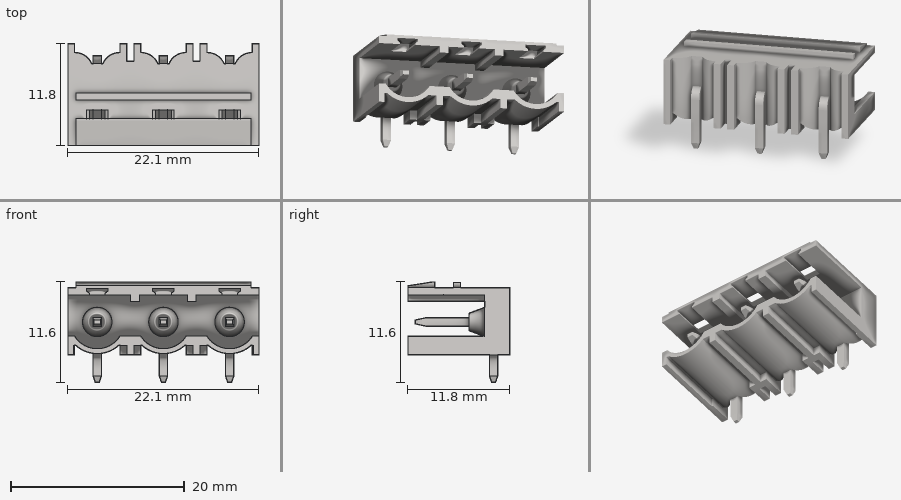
import cadquery as cq
import math


WIDTH = 22.05
DEPTH = 11.75
HEIGHT = 7.75
POLE_PITCH = 7.63
POLE_XS = [-POLE_PITCH, 0.0, POLE_PITCH]
POLE_GAP_XS = [-POLE_PITCH / 2, POLE_PITCH / 2]

CAVITY_DEPTH = 8.84
FLOOR_Z = 2.15
CEILING_Z = 6.9
KEY_WIDTH = 1.01
KEY_DROP = 0.73
KEY_X = 3.26

PIN_Z = 3.8
TROUGH_RADIUS = 3.09
TROUGH_OUTER_RADIUS = 3.65
UNDERSIDE_Z = 1.08

RIB_WIDTH = 0.8
END_RIB_WIDTH = 0.65

BAY_HALF_WIDTH = 2.6
SLOT_DEPTH = 2.03
BAY_DEPTH = 1.01
SCALLOP_RADIUS = 2.14
SCALLOP_DEPTH = 1.3
END_FOOT_WIDTH = WIDTH / 2 - POLE_PITCH - BAY_HALF_WIDTH
MIDDLE_FOOT_WIDTH = POLE_PITCH - 2 * BAY_HALF_WIDTH

TOP_BAR_LENGTH = 20.19
RAIL_FRONT_Y = 5.25
RAIL_DEPTH = 0.82
RAIL_HEIGHT = 0.6
LATCH_DEPTH = 3.1
LATCH_LAND = 0.22
LATCH_HEIGHT = 0.66
LATCH_FRONT_HEIGHT = 0.21

DOVETAIL_LENGTH = 4.1
DOVETAIL_TOP_HALF = 1.23
DOVETAIL_BOTTOM_HALF = 0.9
DOVETAIL_ROOF_Z = 7.63
DOVETAIL_SLOPE_TOP_Z = 7.36
DOVETAIL_SLOPE_BOTTOM_Z = 7.07

COLLAR_BASE_RADIUS = 1.7
COLLAR_TIP_RADIUS = 1.01
COLLAR_LENGTH = 1.8
COLLAR_ROUNDING = 0.22

PIN_SIZE = 1.0
PIN_BACK_Y = 10.35
PIN_FRONT_Y = 0.84
PIN_BOTTOM_Z = -3.17
BEND_OUTER_RADIUS = 1.5
TIP_TOP_TAPER = 1.21
TIP_SIDE_TAPER = 0.84
TIP_WIDTH = 0.7
TIP_HEIGHT = 0.46
LEG_TAPER = 0.75
LEG_TIP_SIZE = 0.46


def block(x_min, x_max, y_min, y_max, z_min, z_max):
    size = (x_max - x_min, y_max - y_min, z_max - z_min)
    return cq.Workplane("XY").box(*size, centered=False).translate((x_min, y_min, z_min))


def centred_block(x, width, y_min, y_max, z_min, z_max):
    return block(x - width / 2, x + width / 2, y_min, y_max, z_min, z_max)


def pole_cylinder(x, radius, length):
    """Cylinder along Y on the pin axis, starting at the mouth."""
    return cq.Workplane("XZ").center(x, PIN_Z).circle(radius).extrude(-length)


def make_shell():
    """Body block with one trough-shaped bulge per pole, hollowed by the cavity and the troughs."""
    shell = centred_block(0, WIDTH, 0, DEPTH, UNDERSIDE_Z, HEIGHT)
    for x in POLE_XS:
        lower_part = centred_block(x, 2 * TROUGH_OUTER_RADIUS, 0, DEPTH, 0, FLOOR_Z)
        shell = shell.union(pole_cylinder(x, TROUGH_OUTER_RADIUS, DEPTH).intersect(lower_part))
    shell = shell.cut(centred_block(0, WIDTH, 0, CAVITY_DEPTH, FLOOR_Z, CEILING_Z))
    for x in POLE_XS:
        shell = shell.cut(pole_cylinder(x, TROUGH_RADIUS, CAVITY_DEPTH))
    return shell


def add_supports(body):
    """Ribs below the floor, widening into feet below the back wall."""
    for x in POLE_GAP_XS:
        body = body.union(centred_block(x, RIB_WIDTH, 0, CAVITY_DEPTH, 0, UNDERSIDE_Z))
        body = body.union(centred_block(x, MIDDLE_FOOT_WIDTH, CAVITY_DEPTH, DEPTH, 0, UNDERSIDE_Z))
    for side in (-1, 1):
        rib_x = side * (WIDTH - END_RIB_WIDTH) / 2
        foot_x = side * (WIDTH - END_FOOT_WIDTH) / 2
        body = body.union(centred_block(rib_x, END_RIB_WIDTH, 0, CAVITY_DEPTH, 0, UNDERSIDE_Z))
        body = body.union(centred_block(foot_x, END_FOOT_WIDTH, CAVITY_DEPTH, DEPTH, 0, UNDERSIDE_Z))
    return body


def back_notch(x):
    """Full-height bay behind a pole, narrowing between two convex arcs."""
    bay_y = DEPTH - BAY_DEPTH
    arc_end_angle = math.acos(1 - SCALLOP_DEPTH / SCALLOP_RADIUS)

    def arc_point(angle, side):
        inset = SCALLOP_RADIUS * math.sin(angle)
        drop = SCALLOP_RADIUS * (1 - math.cos(angle))
        return (side * (BAY_HALF_WIDTH - inset), bay_y - drop)

    return (
        cq.Workplane("XY")
        .moveTo(-BAY_HALF_WIDTH, DEPTH)
        .lineTo(-BAY_HALF_WIDTH, bay_y)
        .threePointArc(arc_point(arc_end_angle / 2, -1), arc_point(arc_end_angle, -1))
        .lineTo(*arc_point(arc_end_angle, 1))
        .threePointArc(arc_point(arc_end_angle / 2, 1), arc_point(0, 1))
        .lineTo(BAY_HALF_WIDTH, DEPTH)
        .close()
        .extrude(HEIGHT)
        .translate((x, 0, 0))
    )


def cut_back(body):
    for x in POLE_XS:
        body = body.cut(back_notch(x))
    for x in POLE_GAP_XS:
        body = body.cut(centred_block(x, RIB_WIDTH, DEPTH - SLOT_DEPTH, DEPTH, 0, HEIGHT))
    return body


def cut_dovetails(body):
    """Dovetail slots, open upward behind the latch and roofed below it."""
    right_side = [
        (DOVETAIL_BOTTOM_HALF, CEILING_Z),
        (DOVETAIL_BOTTOM_HALF, DOVETAIL_SLOPE_BOTTOM_Z),
        (DOVETAIL_TOP_HALF, DOVETAIL_SLOPE_TOP_Z),
        (DOVETAIL_TOP_HALF, DOVETAIL_ROOF_Z),
    ]
    left_side = [(-x, z) for x, z in reversed(right_side)]
    profile = cq.Workplane("XZ").polyline(right_side + left_side).close()
    dovetail = profile.extrude(-DOVETAIL_LENGTH)
    opening = centred_block(
        0, 2 * DOVETAIL_TOP_HALF, LATCH_DEPTH, DOVETAIL_LENGTH, DOVETAIL_SLOPE_TOP_Z, HEIGHT
    )
    cutter = dovetail.union(opening)
    for x in POLE_XS:
        body = body.cut(cutter.translate((x, 0, 0)))
    return body


def add_top_bars(body):
    """Rail and latch wedge standing on the top face."""
    rail = centred_block(
        0, TOP_BAR_LENGTH, RAIL_FRONT_Y, RAIL_FRONT_Y + RAIL_DEPTH, HEIGHT, HEIGHT + RAIL_HEIGHT
    )
    latch = (
        cq.Workplane("YZ")
        .moveTo(0, HEIGHT)
        .lineTo(LATCH_DEPTH, HEIGHT)
        .lineTo(LATCH_DEPTH, HEIGHT + LATCH_HEIGHT)
        .lineTo(LATCH_DEPTH - LATCH_LAND, HEIGHT + LATCH_HEIGHT)
        .lineTo(0, HEIGHT + LATCH_FRONT_HEIGHT)
        .close()
        .extrude(TOP_BAR_LENGTH / 2, both=True)
    )
    return body.union(rail).union(latch)


def add_keys(body):
    """Keying bars hanging from the cavity ceiling."""
    for x in (-KEY_X, KEY_X):
        body = body.union(centred_block(x, KEY_WIDTH, 0, CAVITY_DEPTH, CEILING_Z - KEY_DROP, CEILING_Z))
    return body


def add_collars(body):
    """Tapered collars on the back wall, rounded at the tip."""
    base = cq.Workplane("XZ", origin=(0, CAVITY_DEPTH, PIN_Z)).circle(COLLAR_BASE_RADIUS)
    taper = math.degrees(math.atan((COLLAR_BASE_RADIUS - COLLAR_TIP_RADIUS) / COLLAR_LENGTH))
    collar = base.extrude(COLLAR_LENGTH, taper=taper).faces("<Y").edges().fillet(COLLAR_ROUNDING)
    for x in POLE_XS:
        body = body.union(collar.translate((x, 0, 0)))
    return body


def make_pin(x):
    """Square pin bent down at the back: the common volume of its side, plan and front outlines."""
    half = PIN_SIZE / 2
    top_z = PIN_Z + half
    inner_y = PIN_BACK_Y - PIN_SIZE
    leg_y = PIN_BACK_Y - half
    inner_radius = BEND_OUTER_RADIUS - PIN_SIZE
    leg_taper_z = PIN_BOTTOM_Z + LEG_TAPER
    leg_tip_half = LEG_TIP_SIZE / 2
    top_taper_y = PIN_FRONT_Y + TIP_TOP_TAPER
    side_taper_y = PIN_FRONT_Y + TIP_SIDE_TAPER

    side_outline = (
        cq.Workplane("YZ")
        .moveTo(PIN_FRONT_Y, PIN_Z - TIP_HEIGHT / 2)
        .lineTo(PIN_FRONT_Y, PIN_Z + TIP_HEIGHT / 2)
        .lineTo(top_taper_y, top_z)
        .lineTo(PIN_BACK_Y - BEND_OUTER_RADIUS, top_z)
        .radiusArc((PIN_BACK_Y, top_z - BEND_OUTER_RADIUS), BEND_OUTER_RADIUS)
        .lineTo(PIN_BACK_Y, leg_taper_z)
        .lineTo(leg_y + leg_tip_half, PIN_BOTTOM_Z)
        .lineTo(leg_y - leg_tip_half, PIN_BOTTOM_Z)
        .lineTo(inner_y, leg_taper_z)
        .lineTo(inner_y, PIN_Z - half - inner_radius)
        .radiusArc((inner_y - inner_radius, PIN_Z - half), -inner_radius)
        .lineTo(top_taper_y, PIN_Z - half)
        .close()
        .extrude(half, both=True)
    )
    plan_outline = (
        cq.Workplane("XY", origin=(0, 0, PIN_BOTTOM_Z))
        .moveTo(-TIP_WIDTH / 2, PIN_FRONT_Y)
        .lineTo(TIP_WIDTH / 2, PIN_FRONT_Y)
        .lineTo(half, side_taper_y)
        .lineTo(half, PIN_BACK_Y)
        .lineTo(-half, PIN_BACK_Y)
        .lineTo(-half, side_taper_y)
        .close()
        .extrude(top_z - PIN_BOTTOM_Z)
    )
    front_outline = (
        cq.Workplane("XZ")
        .moveTo(-leg_tip_half, PIN_BOTTOM_Z)
        .lineTo(leg_tip_half, PIN_BOTTOM_Z)
        .lineTo(half, leg_taper_z)
        .lineTo(half, top_z)
        .lineTo(-half, top_z)
        .lineTo(-half, leg_taper_z)
        .close()
        .extrude(-PIN_BACK_Y)
    )
    return side_outline.intersect(plan_outline).intersect(front_outline).translate((x, 0, 0))


def make_housing(pins):
    body = add_supports(make_shell())
    body = cut_back(body)
    body = cut_dovetails(body)
    body = add_top_bars(body)
    body = add_keys(body)
    body = add_collars(body)
    for pin in pins:
        body = body.cut(pin)
    return body


pins = [make_pin(x) for x in POLE_XS]
housing = make_housing(pins)

result = cq.Compound.makeCompound([housing.val(), *[pin.val() for pin in pins]])